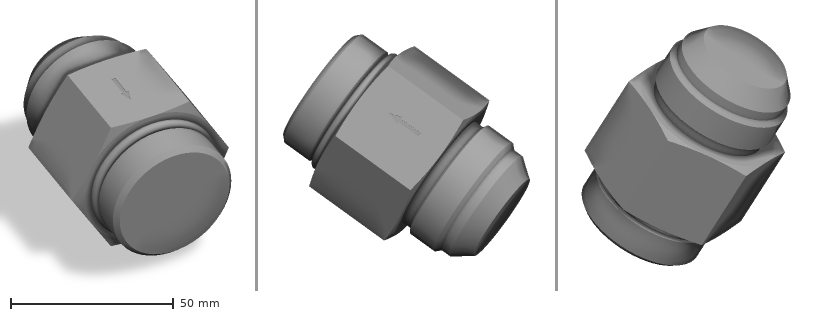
import cadquery as cq
import math

OVERALL_LENGTH = 69.85
HEX_START = 24.0
HEX_LENGTH = 30.7
HEX_END = HEX_START + HEX_LENGTH

HEX_ACROSS_FLATS = 47.5
HEX_ACROSS_CORNERS = HEX_ACROSS_FLATS / math.cos(math.radians(30))
HEX_CHAMFER_ANGLE = 15.0

THREAD_RADIUS = 41.27 / 2

NECK_RADIUS = 38.33 / 2

NOSE_ANGLE = 37.0
NOSE_LENGTH = 5.95
NOSE_BASE_RADIUS = 38.12 / 2
NOSE_TIP_RADIUS = NOSE_BASE_RADIUS - NOSE_LENGTH * math.tan(math.radians(NOSE_ANGLE))
FLARE_THREAD_START = 9.25
FLARE_THREAD_END = 20.95
LEAD_CHAMFER = THREAD_RADIUS - NOSE_BASE_RADIUS
BACK_CHAMFER = 0.9

RING_SECTION_RADIUS = 3.0 / 2
RING_INNER_RADIUS = 37.47 / 2
RING_CENTRE_RADIUS = RING_INNER_RADIUS + RING_SECTION_RADIUS
RING_CENTRE_X = HEX_END + RING_SECTION_RADIUS
GROOVE_LENGTH = 3.3

PORT_THREAD_START = HEX_END + GROOVE_LENGTH
PORT_BACK_CHAMFER = 0.85
PORT_END_CHAMFER = 1.6

ARROW_START = 33.05
ARROW_LENGTH = 11.5
ARROW_HEAD_LENGTH = 3.9
ARROW_HEAD_HALF_WIDTH = 1.35
ARROW_SHAFT_HALF_WIDTH = 0.65
ARROW_CENTRE_Y = -2.0
ARROW_DEPTH = 0.2


def revolve_about_x(profile):
    """Turn a closed (x, radius) profile about the X axis."""
    return cq.Workplane("XY").polyline(profile).close().revolve(360, (0, 0, 0), (1, 0, 0))


def flared_end():
    return revolve_about_x([
        (0, 0),
        (0, NOSE_TIP_RADIUS),
        (NOSE_LENGTH, NOSE_BASE_RADIUS),
        (FLARE_THREAD_START, NOSE_BASE_RADIUS),
        (FLARE_THREAD_START + LEAD_CHAMFER, THREAD_RADIUS),
        (FLARE_THREAD_END - BACK_CHAMFER, THREAD_RADIUS),
        (FLARE_THREAD_END, NECK_RADIUS),
        (HEX_START, NECK_RADIUS),
        (HEX_START, 0),
    ])


def port_end():
    return revolve_about_x([
        (HEX_END, 0),
        (HEX_END, RING_INNER_RADIUS),
        (PORT_THREAD_START, RING_INNER_RADIUS),
        (PORT_THREAD_START, NECK_RADIUS),
        (PORT_THREAD_START + PORT_BACK_CHAMFER, THREAD_RADIUS),
        (OVERALL_LENGTH - PORT_END_CHAMFER, THREAD_RADIUS),
        (OVERALL_LENGTH, THREAD_RADIUS - PORT_END_CHAMFER),
        (OVERALL_LENGTH, 0),
    ])


def hexagon():
    """Hexagon with corners on +Y and -Y, its corners chamfered at both ends."""
    prism = (
        cq.Workplane("YZ", origin=(HEX_START, 0, 0))
        .polygon(6, HEX_ACROSS_CORNERS)
        .extrude(HEX_LENGTH)
    )
    face_radius = HEX_ACROSS_FLATS / 2
    corner_radius = HEX_ACROSS_CORNERS / 2
    chamfer_length = (corner_radius - face_radius) * math.tan(math.radians(HEX_CHAMFER_ANGLE))
    envelope = revolve_about_x([
        (HEX_START, 0),
        (HEX_START, face_radius),
        (HEX_START + chamfer_length, corner_radius),
        (HEX_END - chamfer_length, corner_radius),
        (HEX_END, face_radius),
        (HEX_END, 0),
    ])
    return prism.intersect(envelope)


def flow_arrow():
    head_start = ARROW_LENGTH - ARROW_HEAD_LENGTH
    return (
        cq.Workplane("XY", origin=(ARROW_START, ARROW_CENTRE_Y, HEX_ACROSS_FLATS / 2))
        .polyline([
            (0, -ARROW_SHAFT_HALF_WIDTH),
            (head_start, -ARROW_SHAFT_HALF_WIDTH),
            (head_start, -ARROW_HEAD_HALF_WIDTH),
            (ARROW_LENGTH, 0),
            (head_start, ARROW_HEAD_HALF_WIDTH),
            (head_start, ARROW_SHAFT_HALF_WIDTH),
            (0, ARROW_SHAFT_HALF_WIDTH),
        ])
        .close()
        .extrude(-ARROW_DEPTH)
    )


def fitting_body():
    return hexagon().union(flared_end()).union(port_end()).cut(flow_arrow())


def o_ring():
    return (
        cq.Workplane("XY")
        .center(RING_CENTRE_X, RING_CENTRE_RADIUS)
        .circle(RING_SECTION_RADIUS)
        .revolve(360, (0, -RING_CENTRE_RADIUS, 0), (1, -RING_CENTRE_RADIUS, 0))
    )


body = fitting_body()
ring = o_ring()

result = cq.Compound.makeCompound([body.val(), ring.val()])